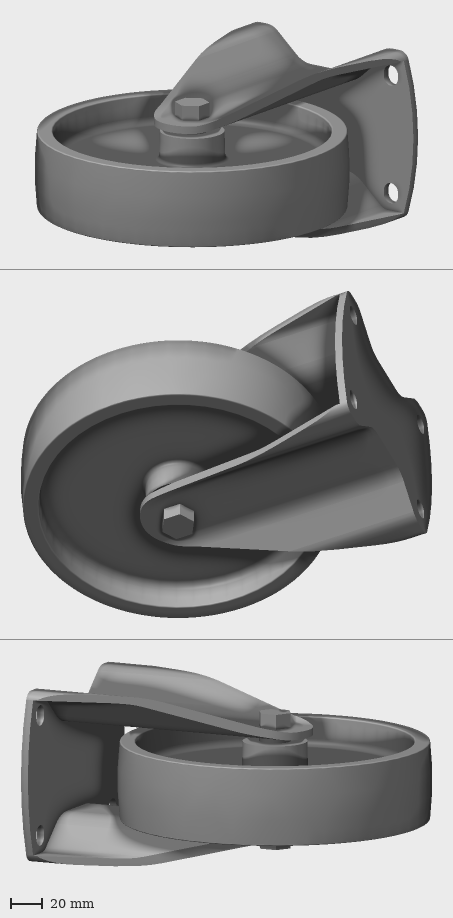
import cadquery as cq
import math


wheel_radius = 100.0
tread_edge_radius = 98.5
wheel_half_width = 25.0
rim_inner_radius = 88.7
dish_foot_radius = 87.2
disc_half_thickness = 6.1
hub_top_radius = 20.5
hub_foot_radius = 21.0
rim_rounding = 1.0
dish_fillet = 5.0
hub_fillet = 2.5

spacer_diameter = 20.0
bolt_across_flats = 19.0
bolt_end = 43.5

sheet = 5.0
plate_back = 145.0
fork_half_height = 110.0 / 2
axle_seat = 34.0
seat_half_width = 28.2 / 2
valley_radius = 18.4
crest_radius = 12.5
bend_angle = math.radians(41.3)
flange_flat_end = 55.9
flange_end = 62.7
plate_half_width = 70.3
arm_tip_radius = 24.3
arm_taper = math.radians(15.3)

slot_half_pitch_x = 52.5
slot_half_pitch_z = 38.7
slot_width = 11.3
slot_length = 13.2


def make_wheel():
    half_profile = [
        (tread_edge_radius, wheel_half_width),
        (rim_inner_radius, wheel_half_width),
        (dish_foot_radius, disc_half_thickness),
        (hub_foot_radius, disc_half_thickness),
        (hub_top_radius, wheel_half_width),
        (0, wheel_half_width),
    ]
    lower_profile = [(r, -z) for r, z in reversed(half_profile)]
    wheel = (
        cq.Workplane("XZ")
        .polyline(half_profile + lower_profile)
        .threePointArc((wheel_radius, 0), half_profile[0])
        .close()
        .revolve(360, (0, 0), (0, 1))
    )

    radius_tolerance = 0.002

    def round_circles(body, radius, fillet):
        circles = body.edges("%CIRCLE").filter(lambda e: abs(e.radius() - radius) < radius_tolerance)
        return circles.fillet(fillet)

    wheel = round_circles(wheel, tread_edge_radius, rim_rounding)
    wheel = round_circles(wheel, rim_inner_radius, rim_rounding)
    wheel = round_circles(wheel, dish_foot_radius, dish_fillet)
    return round_circles(wheel, hub_foot_radius, hub_fillet)


def add_pressed_edge(path, depth):
    """Continue a path along the pressed sheet, from the left flange to the right one.

    depth is the distance below the outer face, so the bends stay concentric."""
    valley = valley_radius + depth
    crest = crest_radius - depth
    seat_z = axle_seat - depth
    flange_z = fork_half_height - depth
    bend_height = (valley_radius + crest_radius) * (1 - math.cos(bend_angle))
    slope_run = (fork_half_height - axle_seat - bend_height) / math.tan(bend_angle)
    crest_x = seat_half_width + (valley_radius + crest_radius) * math.sin(bend_angle) + slope_run

    def on_valley(angle):
        return (seat_half_width + valley * math.sin(angle), seat_z + valley * (1 - math.cos(angle)))

    def on_crest(angle):
        return (crest_x - crest * math.sin(angle), flange_z - crest * (1 - math.cos(angle)))

    def mirrored(point):
        return (-point[0], point[1])

    half_angle = bend_angle / 2
    return (
        path.lineTo(-crest_x, flange_z)
        .threePointArc(mirrored(on_crest(half_angle)), mirrored(on_crest(bend_angle)))
        .lineTo(*mirrored(on_valley(bend_angle)))
        .threePointArc(mirrored(on_valley(half_angle)), mirrored(on_valley(0)))
        .lineTo(*on_valley(0))
        .threePointArc(on_valley(half_angle), on_valley(bend_angle))
        .lineTo(*on_crest(bend_angle))
        .threePointArc(on_crest(half_angle), on_crest(0))
    )


def upper_half_block(length):
    """Upper half of the plate outline, extruded from the plate back toward -Y."""
    flange_z = fork_half_height - sheet
    side_drop = plate_half_width - flange_end
    side_radius = (flange_z**2 + side_drop**2) / (2 * side_drop)
    side_mid_z = flange_z / 2
    side_mid_x = plate_half_width - side_radius + math.sqrt(side_radius**2 - side_mid_z**2)
    path = (
        cq.Workplane("XZ", origin=(0, plate_back, 0))
        .moveTo(-plate_half_width, 0)
        .threePointArc((-side_mid_x, side_mid_z), (-flange_end, flange_z))
    )
    corner_run = flange_end - flange_flat_end
    corner_radius = (corner_run**2 + sheet**2) / (2 * sheet)
    half_turn = math.asin(corner_run / corner_radius) / 2
    corner_mid = (
        flange_flat_end + corner_radius * math.sin(half_turn),
        fork_half_height - corner_radius * (1 - math.cos(half_turn)),
    )
    path = path.threePointArc((-corner_mid[0], corner_mid[1]), (-flange_flat_end, fork_half_height))
    path = add_pressed_edge(path, 0)
    return (
        path.lineTo(flange_flat_end, fork_half_height)
        .threePointArc(corner_mid, (flange_end, flange_z))
        .threePointArc((side_mid_x, side_mid_z), (plate_half_width, 0))
        .close()
        .extrude(length)
    )


def make_arm():
    length = plate_back + arm_tip_radius
    flange_z = fork_half_height - sheet
    path = (
        cq.Workplane("XZ", origin=(0, plate_back, 0))
        .moveTo(-plate_half_width, 0)
        .lineTo(-plate_half_width, flange_z)
    )
    inner_space = (
        add_pressed_edge(path, sheet)
        .lineTo(plate_half_width, flange_z)
        .lineTo(plate_half_width, 0)
        .close()
        .extrude(length)
    )
    tangent_x = arm_tip_radius * math.cos(arm_taper)
    tangent_y = -arm_tip_radius * math.sin(arm_taper)
    shoulder_y = tangent_y + (flange_end - tangent_x) / math.tan(arm_taper)
    outline = (
        cq.Workplane("XY")
        .moveTo(-flange_end, plate_back)
        .lineTo(-flange_end, shoulder_y)
        .lineTo(-tangent_x, tangent_y)
        .threePointArc((0, -arm_tip_radius), (tangent_x, tangent_y))
        .lineTo(flange_end, shoulder_y)
        .lineTo(flange_end, plate_back)
        .close()
        .extrude(fork_half_height)
    )
    return upper_half_block(length).cut(inner_space).intersect(outline)


def make_bracket():
    half = upper_half_block(sheet).union(make_arm())
    slots = (
        cq.Workplane("XZ", origin=(0, plate_back, 0))
        .rect(2 * slot_half_pitch_x, 2 * slot_half_pitch_z, forConstruction=True)
        .vertices()
        .slot2D(slot_length, slot_width, 90)
        .extrude(sheet)
    )
    return half.union(half.mirror("XY")).cut(slots)


def make_axle():
    seat_inner = axle_seat - sheet
    spacer = cq.Workplane("XY").circle(spacer_diameter / 2).extrude(seat_inner, both=True)
    across_corners = bolt_across_flats / math.cos(math.pi / 6)
    head = (
        cq.Workplane("XY", origin=(0, 0, seat_inner))
        .transformed(rotate=(0, 0, 90))
        .polygon(6, across_corners)
        .extrude(bolt_end - seat_inner)
    )
    return spacer.union(head).union(head.mirror("XY"))


result = make_wheel().union(make_axle()).union(make_bracket())